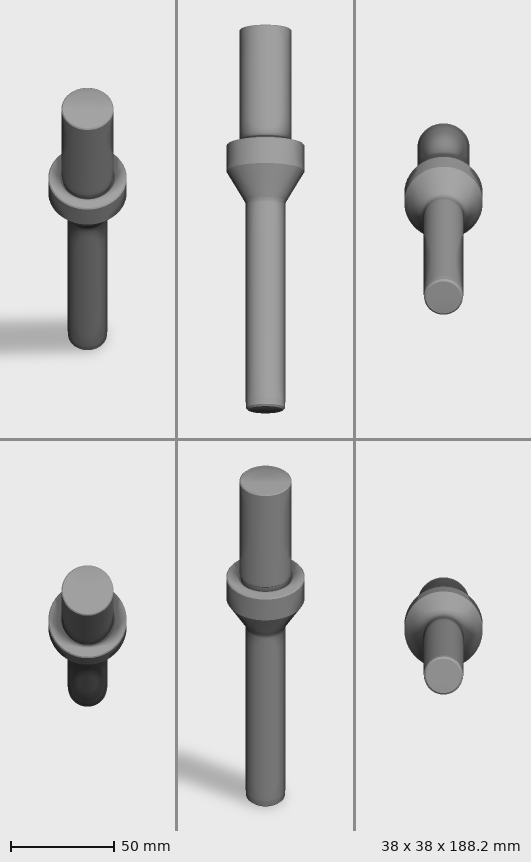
import cadquery as cq

TOTAL_HEIGHT = 188.2
COLLAR_TOP = 131.2
COLLAR_HEIGHT = 13.0
COLLAR_BOTTOM = COLLAR_TOP - COLLAR_HEIGHT

COLLAR_RADIUS = 19.0
COLLAR_CHAMFER = 0.5
CONE_BOTTOM = 102.4
STEM_RADIUS = 9.6
CONE_FILLET = 3.8

LEAD_TOP = 4.0
LEAD_RADIUS = 9.5
TIP_CHAMFER = 1.0

PIN_RADIUS = 12.6
PIN_CHAMFER = 0.5
NECK_RADIUS = 12.0
NECK_EXPOSED_HEIGHT = 1.7
SOCKET_DEPTH = COLLAR_HEIGHT
SOCKET_MOUTH_RADIUS = 13.4
SOCKET_BOTTOM = COLLAR_TOP - SOCKET_DEPTH
SHOULDER_BOTTOM = COLLAR_TOP + NECK_EXPOSED_HEIGHT


def revolve_profile(profile):
    """Turn a closed radius-height profile around the Z axis."""
    return profile.close().revolve(360, (0, 0, 0), (0, 1, 0))


def make_holder():
    """Stem with a tapered tip, a cone and a socketed collar."""
    holder = revolve_profile(
        cq.Workplane("XZ")
        .lineTo(LEAD_RADIUS - TIP_CHAMFER, 0)
        .lineTo(LEAD_RADIUS, TIP_CHAMFER)
        .lineTo(STEM_RADIUS, LEAD_TOP)
        .lineTo(STEM_RADIUS, CONE_BOTTOM)
        .lineTo(COLLAR_RADIUS, COLLAR_BOTTOM)
        .lineTo(COLLAR_RADIUS, COLLAR_TOP - COLLAR_CHAMFER)
        .lineTo(COLLAR_RADIUS - COLLAR_CHAMFER, COLLAR_TOP)
        .lineTo(0, COLLAR_TOP)
    )
    stem_cone_edge = cq.selectors.BoxSelector(
        (-STEM_RADIUS, -STEM_RADIUS, CONE_BOTTOM - CONE_FILLET),
        (STEM_RADIUS, STEM_RADIUS, CONE_BOTTOM + CONE_FILLET),
    )
    holder = holder.edges("%CIRCLE").edges(stem_cone_edge).fillet(CONE_FILLET)

    socket = revolve_profile(
        cq.Workplane("XZ")
        .moveTo(0, SOCKET_BOTTOM)
        .lineTo(NECK_RADIUS, SOCKET_BOTTOM)
        .lineTo(NECK_RADIUS, COLLAR_TOP - (SOCKET_MOUTH_RADIUS - NECK_RADIUS))
        .lineTo(SOCKET_MOUTH_RADIUS, COLLAR_TOP)
        .lineTo(0, COLLAR_TOP)
    )
    return holder.cut(socket)


def make_pin():
    """Chamfered pin whose narrower neck fills the socket."""
    return revolve_profile(
        cq.Workplane("XZ")
        .moveTo(0, SOCKET_BOTTOM)
        .lineTo(NECK_RADIUS, SOCKET_BOTTOM)
        .lineTo(NECK_RADIUS, SHOULDER_BOTTOM)
        .lineTo(PIN_RADIUS, SHOULDER_BOTTOM + PIN_RADIUS - NECK_RADIUS)
        .lineTo(PIN_RADIUS, TOTAL_HEIGHT - PIN_CHAMFER)
        .lineTo(PIN_RADIUS - PIN_CHAMFER, TOTAL_HEIGHT)
        .lineTo(0, TOTAL_HEIGHT)
    )


holder = make_holder()
pin = make_pin()
result = cq.Compound.makeCompound([holder.val(), pin.val()])